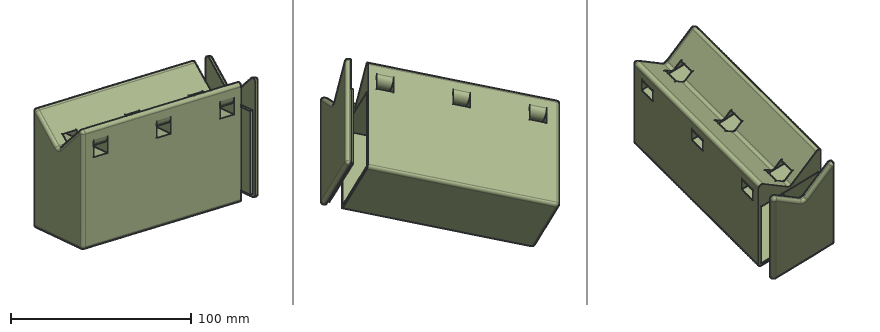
import cadquery as cq

total_length = 126.0
width = 44.0
wall = 2.0
edge_radius = 2.0
end_thickness = 3.0

lip_depth = 2.0
lid_gap = 8.0
lid_front = total_length - end_thickness
housing_length = lid_front - lip_depth - lid_gap

cavity_width = width - 2 * wall
cavity_height = 50.0
cavity_length = housing_length - end_thickness

cradle_depth = 20.0
valley_z = cavity_height + 2 * wall
peak_z = valley_z + cradle_depth

slot_count = 3
slot_length = 10.0
slot_height = 5.0
flare_radius = 5.0
slot_end_margin = 5.0
slot_pitch = (cavity_length - 2 * slot_end_margin - slot_length) / (slot_count - 1)


def cradle_block(front, length):
    """Solid with the V-topped outline, running from y = front toward +Y."""
    half = width / 2
    outline = [(-half, 0), (half, 0), (half, peak_z), (0, valley_z), (-half, peak_z)]
    return cq.Workplane("XZ", origin=(0, front, 0)).polyline(outline).close().extrude(-length)


def inner_block(front, length):
    """Rectangular block shared by the cavity and the lid lip."""
    return (
        cq.Workplane("XY")
        .box(cavity_width, length, cavity_height, centered=(True, False, False))
        .translate((0, front, wall))
    )


def cross_slot(front):
    """Cutter through the full width, its roof curving up to each side wall."""
    half = width / 2
    roof_z = valley_z + slot_height
    flare_top = roof_z + flare_radius
    flare_start = half - flare_radius
    diagonal = flare_radius * 0.5 ** 0.5
    return (
        cq.Workplane("XZ", origin=(0, front, 0))
        .moveTo(-half, valley_z)
        .lineTo(half, valley_z)
        .lineTo(half, flare_top)
        .threePointArc((flare_start + diagonal, flare_top - diagonal), (flare_start, roof_z))
        .lineTo(-flare_start, roof_z)
        .threePointArc((-flare_start - diagonal, flare_top - diagonal), (-half, flare_top))
        .close()
        .extrude(-slot_length)
    )


def make_housing():
    housing = cradle_block(0, housing_length).edges("|Y or <Y").fillet(edge_radius)
    housing = housing.cut(inner_block(end_thickness, cavity_length))
    first_slot = end_thickness + slot_end_margin
    for index in range(slot_count):
        housing = housing.cut(cross_slot(first_slot + index * slot_pitch))
    return housing


def make_lid():
    plate = cradle_block(lid_front, end_thickness).edges("|Y or >Y").fillet(edge_radius)
    return plate.union(inner_block(lid_front - lip_depth, lip_depth))


housing = make_housing()
lid = make_lid()

result = cq.Compound.makeCompound([housing.val(), lid.val()])